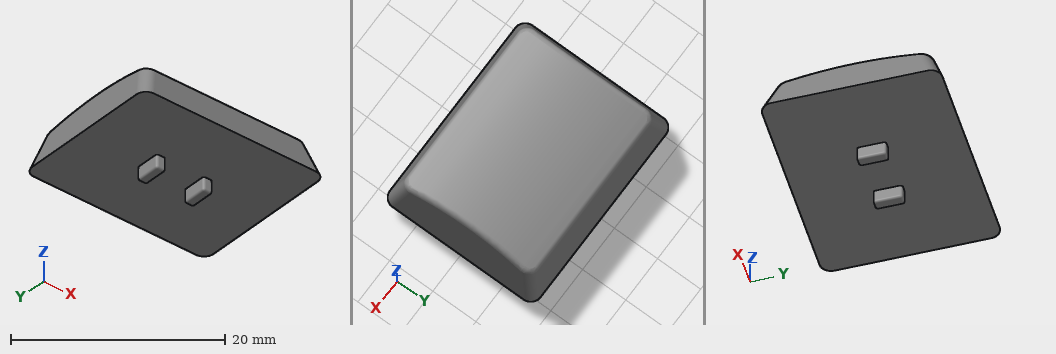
import cadquery as cq

LENGTH = 22.0
WIDTH = 17.5
CROWN_HEIGHT = 5.02
DRAFT_ANGLE = 17.0
CORNER_RADIUS = 1.2
RIM_RADIUS = 0.6
CROWN_RADIUS = 26.18

TOTAL_HEIGHT = 6.5
LEG_LENGTH = TOTAL_HEIGHT - CROWN_HEIGHT
LEG_SPACING = 5.68
LEG_THICKNESS = 1.1
LEG_WIDTH = 2.85
LEG_EDGE_RADIUS = 0.26
LEG_TIP_RADIUS = 0.25


def make_cap():
    """Tapered block with rounded corners, a crowned top and a rounded rim."""
    taper_height = CROWN_HEIGHT + RIM_RADIUS
    block = cq.Workplane("XY").rect(LENGTH, WIDTH).extrude(taper_height, taper=DRAFT_ANGLE)
    block = block.edges("not(#Z)").fillet(CORNER_RADIUS)
    crown = (
        cq.Workplane("YZ")
        .center(0, CROWN_HEIGHT - CROWN_RADIUS)
        .circle(CROWN_RADIUS)
        .extrude(LENGTH / 2, both=True)
    )
    return block.intersect(crown).faces(">Z").edges().fillet(RIM_RADIUS)


def make_leg(x):
    """Rounded rectangular leg hanging below the base at the given X."""
    return (
        cq.Workplane("XY")
        .center(x, 0)
        .rect(LEG_THICKNESS, LEG_WIDTH)
        .extrude(-LEG_LENGTH)
        .edges("|Z")
        .fillet(LEG_EDGE_RADIUS)
        .faces("<Z")
        .edges()
        .fillet(LEG_TIP_RADIUS)
    )


result = make_cap()
for side in (-1, 1):
    result = result.union(make_leg(side * LEG_SPACING / 2))